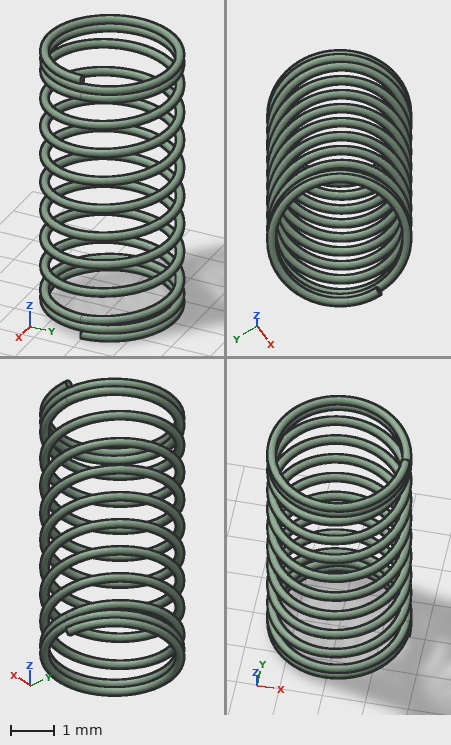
import cadquery as cq

free_length = 6.9
outer_diameter = 3.3
wire_diameter = 0.2
end_pitch = 0.21
end_turns = 2
active_turns = 8

wire_radius = wire_diameter / 2
coil_radius = outer_diameter / 2 - wire_radius
end_rise = end_pitch * end_turns
active_rise = free_length - wire_diameter - 2 * end_rise
active_pitch = active_rise / active_turns


def coil(pitch, turns, start_z):
    """Right-handed coil of round wire, starting and ending on the +X side."""
    path = cq.Wire.makeHelix(pitch, pitch * turns, coil_radius, center=cq.Vector(0, 0, start_z))
    section = cq.Workplane("XZ").center(coil_radius, start_z).circle(wire_radius)
    return section.sweep(cq.Workplane(obj=path), isFrenet=True)


bottom_z = wire_radius - free_length / 2
active_start_z = bottom_z + end_rise
top_start_z = active_start_z + active_rise

bottom_coils = coil(end_pitch, end_turns, bottom_z)
active_coils = coil(active_pitch, active_turns, active_start_z)
top_coils = coil(end_pitch, end_turns, top_start_z)

result = bottom_coils.union(active_coils).union(top_coils)